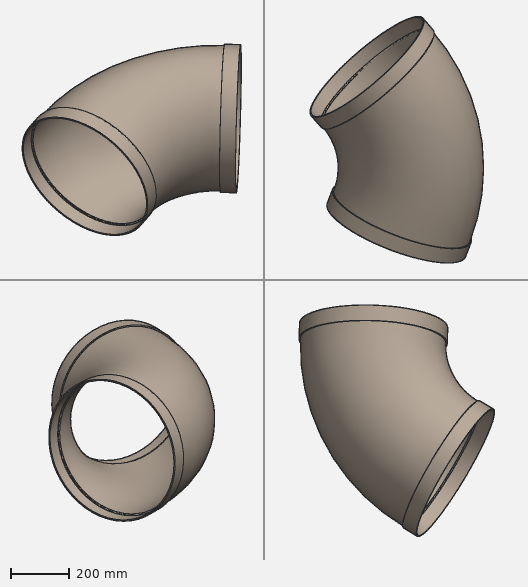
import cadquery as cq
import math

bend_angle = 60.0
bend_radius = 500.0
tube_outer_diameter = 500.0
wall = 5.0
collar_length = 55.0
shoulder_radius = wall

tube_inner_radius = tube_outer_diameter / 2 - wall
collar_bore_radius = tube_outer_diameter / 2
collar_outer_radius = collar_bore_radius + wall
bend_angle_rad = math.radians(bend_angle)

inlet_centre = cq.Vector(0, 0, 0)
inlet_direction = cq.Vector(0, -1, 0)
outlet_centre = cq.Vector(
    bend_radius * (1 - math.cos(bend_angle_rad)),
    bend_radius * math.sin(bend_angle_rad),
    0,
)
outlet_direction = cq.Vector(math.sin(bend_angle_rad), math.cos(bend_angle_rad), 0)


def make_bend():
    """Thin-walled tube revolved about a vertical axis through the bend centre."""
    ring = (
        cq.Workplane("XZ")
        .circle(tube_outer_diameter / 2)
        .circle(tube_inner_radius)
    )
    return ring.revolve(bend_angle, (bend_radius, 0, 0), (bend_radius, -1, 0))


def make_collar(centre, direction):
    """Socket collar revolved about its own axis.

    It starts at a tube end and runs along direction, away from the bend. A
    convex quarter-round shoulder leads from the tube bore to the collar bore.
    The local x of the profile plane is radial and its local y is axial.
    """
    up = cq.Vector(0, 0, 1)
    profile_plane = cq.Plane(origin=centre, xDir=up, normal=up.cross(direction))
    arc_offset = shoulder_radius * math.sqrt(0.5)
    arc_middle = (collar_bore_radius - arc_offset, arc_offset)
    return (
        cq.Workplane(profile_plane)
        .moveTo(tube_inner_radius, 0)
        .lineTo(collar_outer_radius, 0)
        .lineTo(collar_outer_radius, collar_length)
        .lineTo(collar_bore_radius, collar_length)
        .lineTo(collar_bore_radius, shoulder_radius)
        .threePointArc(arc_middle, (tube_inner_radius, 0))
        .close()
        .revolve(360, (0, 0), (0, 1))
    )


inlet_collar = make_collar(inlet_centre, inlet_direction)
outlet_collar = make_collar(outlet_centre, outlet_direction)
result = make_bend().union(inlet_collar).union(outlet_collar)